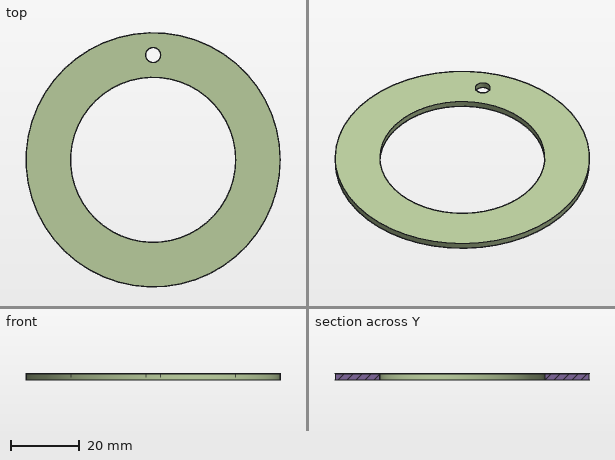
import cadquery as cq

outer_diameter = 74.0
bore_diameter = 47.95
thickness = 1.9

hole_diameter = 4.3
hole_radius_from_axis = (outer_diameter + bore_diameter) / 4

ring = (
    cq.Workplane("XY")
    .circle(outer_diameter / 2)
    .circle(bore_diameter / 2)
    .extrude(thickness)
)

hole = (
    cq.Workplane("XY")
    .center(0, hole_radius_from_axis)
    .circle(hole_diameter / 2)
    .extrude(thickness)
)

result = ring.cut(hole)